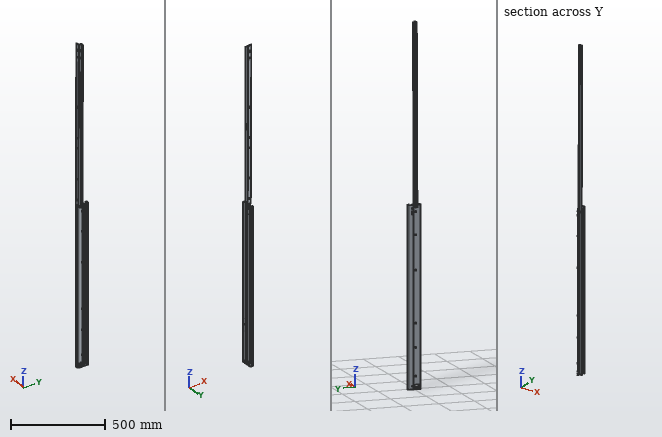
import cadquery as cq
import math


overall_height = 1985.01
overall_depth = 44.4
member_length = 1000.0

cabinet_depth = 19.0
cabinet_top = 35.4
cabinet_bottom = -34.0
sheet = 2.5
bend_radius = 5.0
lip_reach = 8.4
shelf_y = 6.0
bulge_height = 1.4
bulge_length = 78.0
bulge_z = 227.0
bulge_start_x = 4.0
bulge_hole_diameter = 5.0
bulge_hole_x = 15.5

web_hole_diameter = 5.5
rail_hole_y = -6.0
rail_hole_z = (71.7, 227.0, 358.7, 645.7, 837.0, 962.6)
upper_hole_y = 12.0
upper_hole_z = (17.9, 980.5)
upper_slot_z = 956.6
upper_slot_length = 20.0
end_notch_width = 6.0
end_notch_depth = 15.0
window_width = 23.0
window_y = -12.0
window_bottom_z = 11.0
window_height = 13.0
window_arch_diameter = 6.0
stop_tab_thickness = 5.0
stop_tab_depth = 6.0

lean_angle = math.degrees(math.atan(0.0033))

channel_sheet = 2.0
channel_top_y = 3.3
channel_bottom_y = -14.5
channel_open_x = 5.6
channel_back_x = 21.5
channel_lip_reach = 7.4
channel_bend_radius = 2.4

bracket_sheet = 2.5
bracket_top_y = 2.5
bracket_bottom_y = -15.5
leg_hole_x = 34.2
large_hole_diameter = 9.0
small_hole_diameter = 6.0
large_hole_drops = (39.0, 392.0, 966.0)
small_hole_drops = (646.0, 837.0)
stud_drops = (80.7, 583.0)
stud_diameter = 5.0
stud_height = 2.7

web_hole_y = -7.5
web_holes = ((39.0, large_hole_diameter), (83.0, small_hole_diameter))


def bar(x0, x1, y0, y1, z0, z1):
    """Rectangular block between two opposite corners."""
    return cq.Workplane("XY").box(x1 - x0, y1 - y0, z1 - z0, centered=False).translate((x0, y0, z0))


def hole_along_x(diameter, y, z, length):
    """Round cutter running along +X from the plane X = 0."""
    return cq.Workplane("YZ").center(y, z).circle(diameter / 2).extrude(length)


def cylinder_along_y(diameter, x, z, y0, y1):
    """Round rod running along Y from y0 to y1."""
    return cq.Workplane("XZ", origin=(0, y0, 0)).center(x, z).circle(diameter / 2).extrude(y0 - y1)


def cabinet_channel():
    """Lipped channel with rounded outer bends and a shelf inside."""
    outer = bar(0, cabinet_depth, cabinet_bottom, cabinet_top, 0, member_length)
    outer = outer.edges("|Z and <X").fillet(bend_radius)
    cavity_bottom = cabinet_bottom + sheet
    cavity_top = cabinet_top - sheet
    cavity = bar(sheet, cabinet_depth - sheet, cavity_bottom, cavity_top, 0, member_length)
    cavity = cavity.edges("|Z and <X").fillet(bend_radius - sheet)
    opening_bottom = cabinet_bottom + lip_reach
    opening_top = cabinet_top - lip_reach
    opening = bar(cabinet_depth - sheet, cabinet_depth, opening_bottom, opening_top, 0, member_length)
    shelf = bar(sheet, cabinet_depth, shelf_y, shelf_y + sheet, 0, member_length)
    return outer.cut(cavity).cut(opening).union(shelf)


def flange_bulge():
    """Shallow arched swelling on the outside of the lower flange."""
    root_y = cabinet_bottom + sheet / 2
    half = bulge_length / 2
    return (
        cq.Workplane("YZ", origin=(bulge_start_x, 0, 0))
        .moveTo(root_y, bulge_z - half)
        .lineTo(cabinet_bottom, bulge_z - half)
        .threePointArc((cabinet_bottom - bulge_height, bulge_z), (cabinet_bottom, bulge_z + half))
        .lineTo(root_y, bulge_z + half)
        .close()
        .extrude(cabinet_depth - bulge_start_x)
    )


def cabinet_member():
    body = cabinet_channel().union(flange_bulge())
    bulge_crest_y = cabinet_bottom - bulge_height
    flange_inner_y = cabinet_bottom + sheet
    body = body.cut(
        cylinder_along_y(bulge_hole_diameter, bulge_hole_x, bulge_z, bulge_crest_y, flange_inner_y)
    )

    for z in rail_hole_z:
        body = body.cut(hole_along_x(web_hole_diameter, rail_hole_y, z, sheet))
    for z in upper_hole_z:
        body = body.cut(hole_along_x(web_hole_diameter, upper_hole_y, z, sheet))
    slot = (
        cq.Workplane("YZ")
        .center(upper_hole_y, upper_slot_z)
        .slot2D(upper_slot_length, web_hole_diameter, 90)
        .extrude(sheet)
    )
    body = body.cut(slot)

    half_notch = end_notch_width / 2
    notch_z = member_length - end_notch_depth + half_notch
    notch = bar(0, sheet, rail_hole_y - half_notch, rail_hole_y + half_notch, notch_z, member_length)
    body = body.cut(notch).cut(hole_along_x(end_notch_width, rail_hole_y, notch_z, sheet))

    window_y0 = window_y - window_width / 2
    window_y1 = window_y + window_width / 2
    window_top_z = window_bottom_z + window_height
    window = bar(0, sheet, window_y0, window_y1, window_bottom_z, window_top_z)
    arch = hole_along_x(window_arch_diameter, window_y, window_top_z, sheet)
    tab = bar(sheet, sheet + stop_tab_depth, window_y0, window_y1,
              window_bottom_z - stop_tab_thickness, window_bottom_z)
    return body.cut(window).cut(arch).union(tab)


lean_radians = math.radians(lean_angle)
slide_top_z = overall_height + bracket_bottom_y * math.sin(lean_radians)
slide_bottom_z = slide_top_z - member_length


def leaned(body):
    """Lean a body about its X-axis so that its lower end moves toward -Y."""
    return body.rotate((0, 0, slide_top_z), (1, 0, slide_top_z), -lean_angle)


def cut_web_holes(body):
    """Drill the fastening holes that the channel and the bracket share."""
    for drop, diameter in web_holes:
        z = slide_top_z - drop
        body = body.cut(hole_along_x(diameter, web_hole_y, z, channel_back_x + bracket_sheet))
    return body


def drawer_channel():
    """Channel open toward -X, with a lip turned down from its upper flange."""
    cavity_bottom = channel_bottom_y + channel_sheet
    cavity_top = channel_top_y - channel_sheet
    lip_x = channel_open_x + channel_sheet
    web_x = channel_back_x - channel_sheet
    body = bar(channel_open_x, channel_back_x, channel_bottom_y, channel_top_y, slide_bottom_z, slide_top_z)
    body = body.edges("|Z and >X").fillet(channel_bend_radius)
    cavity = bar(lip_x, web_x, cavity_bottom, cavity_top, slide_bottom_z, slide_top_z)
    cavity = cavity.edges("|Z and >X").fillet(channel_bend_radius - channel_sheet)
    mouth = bar(channel_open_x, lip_x, cavity_bottom, channel_top_y - channel_lip_reach,
                slide_bottom_z, slide_top_z)
    return leaned(cut_web_holes(body.cut(cavity).cut(mouth)))


def angle_bracket():
    """Plate on the back of the channel whose lower edge turns out into a mounting leg."""
    plate_x1 = channel_back_x + bracket_sheet
    leg_top_y = bracket_bottom_y + bracket_sheet
    plate = bar(channel_back_x, plate_x1, bracket_bottom_y, bracket_top_y, slide_bottom_z, slide_top_z)
    leg = bar(channel_back_x, overall_depth, bracket_bottom_y, leg_top_y, slide_bottom_z, slide_top_z)
    body = cut_web_holes(plate.union(leg))

    leg_holes = [(drop, large_hole_diameter) for drop in large_hole_drops]
    leg_holes += [(drop, small_hole_diameter) for drop in small_hole_drops]
    for drop, diameter in leg_holes:
        z = slide_top_z - drop
        body = body.cut(cylinder_along_y(diameter, leg_hole_x, z, bracket_bottom_y, leg_top_y))

    stud_tip_y = bracket_bottom_y - stud_height
    for drop in stud_drops:
        z = slide_top_z - drop
        body = body.union(cylinder_along_y(stud_diameter, leg_hole_x, z, stud_tip_y, leg_top_y))
    return leaned(body)


cabinet = cabinet_member()
channel = drawer_channel()
bracket = angle_bracket()

result = cq.Compound.makeCompound([
    *cabinet.solids().vals(),
    *channel.solids().vals(),
    *bracket.solids().vals(),
])